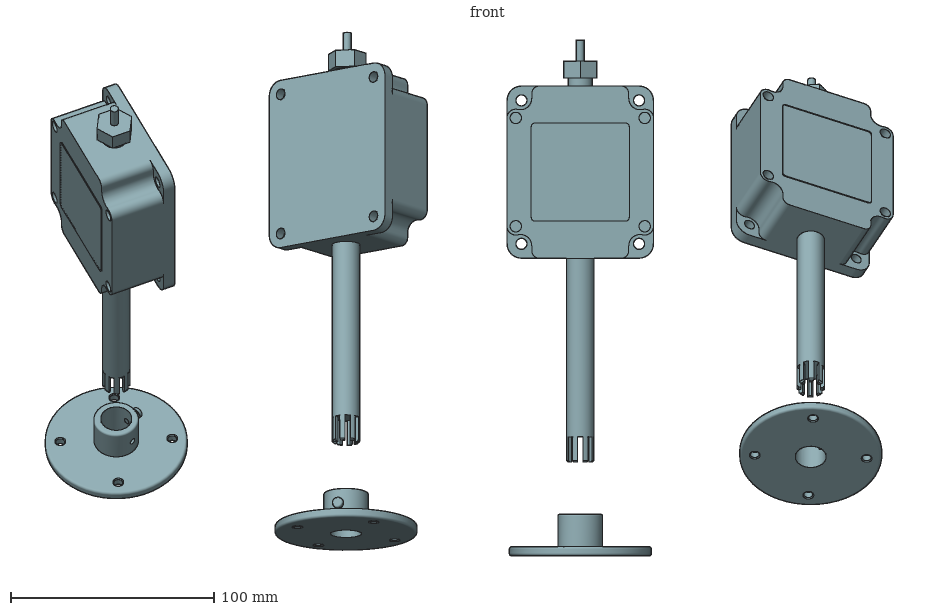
import cadquery as cq
import math


housing_width = 72.0
housing_height = 84.7
housing_bottom = 146.5
housing_top = housing_bottom + housing_height
housing_middle = (housing_bottom + housing_top) / 2
housing_front = -18.8
housing_back = 15.2
base_thickness = 6.0
base_corner_radius = 7.0

mount_inset = 7.0
mount_hole_diameter = 5.3
notch_width = 12.2
notch_inner_radius = 5.5
notch_outer_radius = 3.8

boss_radius = 4.3
boss_inset_z = 15.7
screw_recess_diameter = 5.5
screw_recess_depth = 5.0

label_size = 48.2
label_corner_radius = 1.8
label_thickness = 0.5

gland_y = -1.0
collar_diameter = 12.0
nut_bottom = 235.0
nut_top = 243.3
nut_across_flats = 16.2
cable_diameter = 4.0
cable_top = 253.7

tube_diameter = 13.7
tip_inner_diameter = 9.6
tip_bottom = 46.2
tip_top = 58.5
tip_chamfer = 0.8
slot_width = 2.5
slot_cuts = 4

flange_diameter = 70.0
flange_thickness = 4.5
hub_diameter = 22.0
hub_top = 20.5
bore_diameter = 15.2
flange_edge_radius = 1.3
hub_edge_radius = 1.0
flange_hole_circle = 55.0
flange_hole_diameter = 4.3
flange_hole_chamfer = 0.5
flange_hole_count = 4
flange_hole_angle = 67.5

clamp_height = 12.2
clamp_diameter = 3.0
clamp_screw_angle = 112.5
clamp_hole_angle = 22.5
clamp_head_diameter = 5.3
clamp_head_edge_radius = 0.8
clamp_head_start = 14.2
clamp_head_thickness = 2.0


def front_plane(y):
    """Sketch plane facing -Y at the given depth, centred on the housing."""
    return cq.Workplane("XZ", origin=(0, y, housing_middle))


def corner_notch():
    """Cut through the front of the housing around its upper -X mounting hole, down to the base."""
    left = -housing_width / 2
    top = housing_height / 2
    wall = left + notch_width
    diagonal = math.sqrt(0.5)

    round_x = wall + notch_outer_radius
    round_z = top - notch_outer_radius
    round_middle = (round_x - notch_outer_radius * diagonal, round_z + notch_outer_radius * diagonal)

    boss_x = left + boss_radius
    boss_z = top - boss_inset_z
    boss_middle = (boss_x - boss_radius * diagonal, boss_z + boss_radius * diagonal)

    centre_distance = boss_radius + notch_inner_radius
    hollow_x = wall - notch_inner_radius
    hollow_z = boss_z + math.sqrt(centre_distance**2 - (hollow_x - boss_x) ** 2)
    hollow_middle = (hollow_x + notch_inner_radius * diagonal, hollow_z - notch_inner_radius * diagonal)
    meeting_x = boss_x + (hollow_x - boss_x) * boss_radius / centre_distance
    meeting_z = boss_z + (hollow_z - boss_z) * boss_radius / centre_distance

    return (
        front_plane(housing_front)
        .moveTo(left, top)
        .lineTo(round_x, top)
        .threePointArc(round_middle, (wall, round_z))
        .lineTo(wall, hollow_z)
        .threePointArc(hollow_middle, (meeting_x, meeting_z))
        .threePointArc(boss_middle, (left, boss_z))
        .close()
        .extrude(-(housing_back - base_thickness - housing_front))
    )


def housing_shell():
    """Box with rounded base corners, cut back in front of the four mounting holes."""
    shell = front_plane(housing_front).rect(housing_width, housing_height)
    shell = shell.extrude(housing_front - housing_back)
    shell = shell.edges("|Y").fillet(base_corner_radius)
    notch = corner_notch()
    notch = notch.union(notch.mirror("YZ"))
    notch = notch.union(notch.mirror("XY", (0, 0, housing_middle)))
    return shell.cut(notch)


def gland_and_cable():
    """Round collar, hexagonal nut and cable stub on top of the housing."""
    nut_across_corners = nut_across_flats / math.cos(math.pi / 6)
    collar = cq.Workplane("XY", origin=(0, gland_y, housing_top)).circle(collar_diameter / 2)
    collar = collar.extrude(nut_bottom - housing_top)
    nut = cq.Workplane("XY", origin=(0, gland_y, nut_bottom)).transformed(rotate=(0, 0, 30))
    nut = nut.polygon(6, nut_across_corners).extrude(nut_top - nut_bottom)
    cable = cq.Workplane("XY", origin=(0, gland_y, nut_top)).circle(cable_diameter / 2)
    cable = cable.extrude(cable_top - nut_top)
    return collar.union(nut).union(cable)


def make_housing():
    mount_holes = (
        front_plane(housing_front)
        .rect(housing_width - 2 * mount_inset, housing_height - 2 * mount_inset, forConstruction=True)
        .vertices()
        .circle(mount_hole_diameter / 2)
        .extrude(housing_front - housing_back)
    )
    screw_recesses = (
        front_plane(housing_front)
        .rect(housing_width - 2 * boss_radius, housing_height - 2 * boss_inset_z, forConstruction=True)
        .vertices()
        .circle(screw_recess_diameter / 2)
        .extrude(-screw_recess_depth)
    )
    label = front_plane(housing_front).rect(label_size, label_size).extrude(label_thickness)
    label = label.edges("|Y").fillet(label_corner_radius)
    return housing_shell().cut(mount_holes).cut(screw_recesses).union(label).union(gland_and_cable())


def make_probe():
    """Tube below the housing, bored at the tip and parted into prongs by slots through the axis."""
    tip_plane = cq.Workplane("XY", origin=(0, 0, tip_bottom))
    tip_length = tip_top - tip_bottom
    probe = tip_plane.circle(tube_diameter / 2).extrude(housing_bottom - tip_bottom)
    probe = probe.faces("<Z").chamfer(tip_chamfer)
    probe = probe.cut(tip_plane.circle(tip_inner_diameter / 2).extrude(tip_length))
    slot = tip_plane.rect(2 * tube_diameter, slot_width).extrude(tip_length)
    for index in range(slot_cuts):
        probe = probe.cut(slot.rotate((0, 0, 0), (0, 0, 1), index * 180 / slot_cuts))
    return probe


def turned(body, angle):
    """The body turned about the probe axis."""
    return body.rotate((0, 0, 0), (0, 0, 1), angle)


def clamp_cylinder(diameter, start, end):
    """Cylinder along +X at clamp height, between two distances from the probe axis."""
    return cq.Workplane("YZ", origin=(start, 0, clamp_height)).circle(diameter / 2).extrude(end - start)


def make_clamp_screw():
    """Headed screw whose shank ends at the bore wall."""
    head_end = clamp_head_start + clamp_head_thickness
    shank = clamp_cylinder(clamp_diameter, bore_diameter / 2, clamp_head_start)
    head = clamp_cylinder(clamp_head_diameter, clamp_head_start, head_end)
    head = head.faces(">X").edges().fillet(clamp_head_edge_radius)
    return turned(shank.union(head), clamp_screw_angle)


def make_flange():
    """Round plate with a bored hub, four mounting holes and two clamp holes, with broken edges."""
    plate = cq.Workplane("XY").circle(flange_diameter / 2).extrude(flange_thickness)
    mount_holes = (
        cq.Workplane("XY")
        .polarArray(flange_hole_circle / 2, flange_hole_angle, 360, flange_hole_count)
        .circle(flange_hole_diameter / 2)
        .extrude(flange_thickness)
    )
    plate = plate.cut(mount_holes)
    plate = plate.edges(cq.selectors.RadiusNthSelector(0)).chamfer(flange_hole_chamfer)
    plate = plate.edges(cq.selectors.RadiusNthSelector(-1)).fillet(flange_edge_radius)

    hub = cq.Workplane("XY").circle(hub_diameter / 2).extrude(hub_top)
    hub = hub.faces(">Z").edges().fillet(hub_edge_radius)
    bore = cq.Workplane("XY").circle(bore_diameter / 2).extrude(hub_top)
    flange = plate.union(hub).cut(bore)
    clamp_hole = clamp_cylinder(clamp_diameter, 0, hub_diameter / 2)
    for angle in (clamp_screw_angle, clamp_hole_angle):
        flange = flange.cut(turned(clamp_hole, angle))
    return flange


housing = make_housing()
probe = make_probe()
flange = make_flange()
clamp_screw = make_clamp_screw()

result = cq.Compound.makeCompound([housing.val(), probe.val(), flange.val(), clamp_screw.val()])